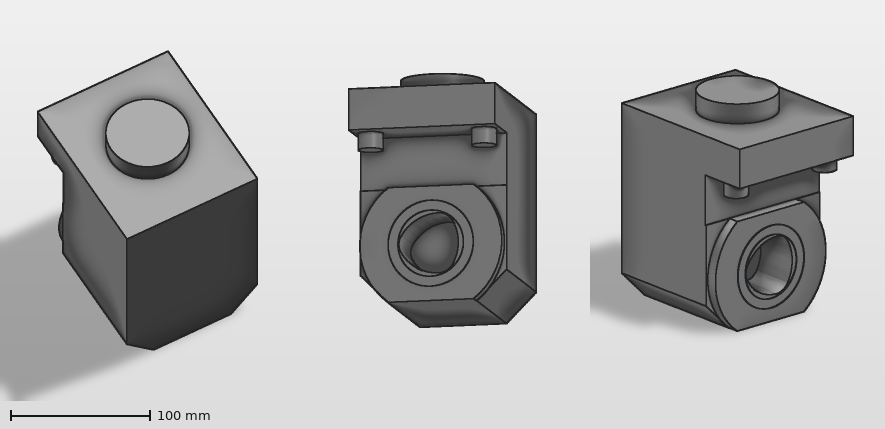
import cadquery as cq
import math

LENGTH = 130.0
WIDTH = 108.0
HEIGHT = 167
LEFT = -LENGTH / 2
RIGHT = LENGTH / 2

STUB_DIAMETER = 60.0
STUB_HEIGHT = 15
BLOCK_TOP = HEIGHT - STUB_HEIGHT

LIP_THICKNESS = 30
LIP_BOTTOM = BLOCK_TOP - LIP_THICKNESS
OVERHANG = 37.5
BODY_LEFT = LEFT + OVERHANG
SHOULDER = 0.7
BOTTOM_CHAMFER = 22.0

PIN_DIAMETER = 18.0
PIN_LENGTH = 12.0
PIN_INSET = 17.9
PIN_SPACING = 83.8

FLANGE_DIAMETER = 105.0
FLANGE_FACE = LEFT + 28.4
SPINDLE_HEIGHT = 42.0
FLANGE_TOP = 2 * SPINDLE_HEIGHT
RING_OUTER_DIAMETER = 63.0
RING_INNER_DIAMETER = 48.5
RING_HEIGHT = 0.5

SOCKET_LOBE_OFFSET = 11.7
SOCKET_MOUTH_LOBE_RADIUS = 11.9
SOCKET_FLOOR_LOBE_RADIUS = 11.0
SOCKET_DEPTH = 33.4
LOBE_COUNT = 3


def make_block():
    """Side profile with the overhanging lip, extruded across the width."""
    shoulder_left = BODY_LEFT - SHOULDER
    block = (
        cq.Workplane("XZ")
        .moveTo(LEFT, BLOCK_TOP)
        .lineTo(RIGHT, BLOCK_TOP)
        .lineTo(RIGHT, 0)
        .lineTo(shoulder_left, 0)
        .lineTo(shoulder_left, FLANGE_TOP)
        .lineTo(BODY_LEFT, FLANGE_TOP)
        .lineTo(BODY_LEFT, LIP_BOTTOM)
        .lineTo(LEFT, LIP_BOTTOM)
        .close()
        .extrude(WIDTH / 2, both=True)
    )
    return block.faces("<Z").edges("|X").chamfer(BOTTOM_CHAMFER)


def make_stub():
    return cq.Workplane("XY", origin=(0, 0, BLOCK_TOP)).circle(STUB_DIAMETER / 2).extrude(STUB_HEIGHT)


def make_pins():
    return (
        cq.Workplane("XY", origin=(LEFT + PIN_INSET, 0, LIP_BOTTOM))
        .rarray(1.7, PIN_SPACING, 1, 2)
        .circle(PIN_DIAMETER / 2)
        .extrude(-PIN_LENGTH)
    )


def spindle_plane(x):
    """Plane facing +X on the spindle axis, with local x along Y and local y along Z."""
    return cq.Workplane("YZ", origin=(x, 0, SPINDLE_HEIGHT))


def make_flange():
    thickness = BODY_LEFT - FLANGE_FACE
    disc = spindle_plane(FLANGE_FACE).circle(FLANGE_DIAMETER / 2).extrude(thickness)
    flats = spindle_plane(FLANGE_FACE).rect(FLANGE_DIAMETER, FLANGE_TOP).extrude(thickness)
    return disc.intersect(flats)


def make_ring():
    return (
        spindle_plane(FLANGE_FACE)
        .circle(RING_OUTER_DIAMETER / 2)
        .circle(RING_INNER_DIAMETER / 2)
        .extrude(-RING_HEIGHT)
    )


def polar(radius, degrees):
    angle = math.radians(degrees)
    return cq.Vector(radius * math.cos(angle), radius * math.sin(angle))


def lobed_wire(lobe_radius, x):
    """Three lobe arcs joined tangentially by three flatter arcs, with one lobe pointing along +Y."""
    lobe_pitch = 360 / LOBE_COUNT
    half_span = lobe_pitch / 4
    side_radius = lobe_radius + SOCKET_LOBE_OFFSET * math.sqrt(3)
    plane = spindle_plane(x).plane
    edges = []

    def add_arc(center, radius, direction):
        angles = (direction - half_span, direction, direction + half_span)
        points = [plane.toWorldCoords(center + polar(radius, angle)) for angle in angles]
        edges.append(cq.Edge.makeThreePointArc(*points))

    for index in range(LOBE_COUNT):
        lobe_direction = index * lobe_pitch
        side_direction = lobe_direction + lobe_pitch / 2
        add_arc(polar(SOCKET_LOBE_OFFSET, lobe_direction), lobe_radius, lobe_direction)
        add_arc(polar(SOCKET_LOBE_OFFSET, side_direction + 180), side_radius, side_direction)
    return cq.Wire.assembleEdges(edges)


def make_socket():
    mouth = lobed_wire(SOCKET_MOUTH_LOBE_RADIUS, FLANGE_FACE)
    floor = lobed_wire(SOCKET_FLOOR_LOBE_RADIUS, FLANGE_FACE + SOCKET_DEPTH)
    return cq.Solid.makeLoft([mouth, floor], True)


solid_part = make_block().union(make_stub()).union(make_pins()).union(make_flange()).union(make_ring())
result = solid_part.cut(make_socket())